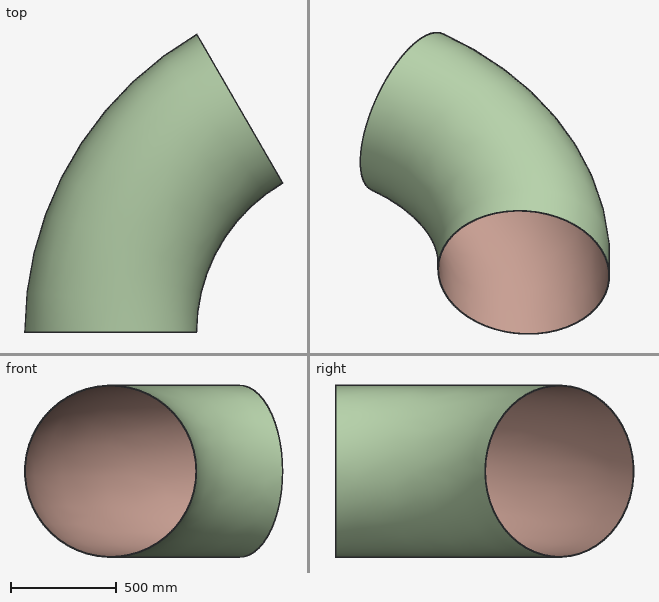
import cadquery as cq
import math

length = 1408.0
bend_angle = 60.0
bend_ratio = 1.5
wall = 4.0

outside_bend_radius = length / math.sin(math.radians(bend_angle))
outer_diameter = outside_bend_radius / (bend_ratio + 0.5)
bend_radius = bend_ratio * outer_diameter
outer_radius = outer_diameter / 2
inner_radius = outer_radius - wall


def pipe_elbow():
    """Ring section in the XZ plane, turned clockwise about a Z-parallel axis at X = bend_radius."""
    section = cq.Workplane("XZ").circle(outer_radius).circle(inner_radius)
    return section.revolve(bend_angle, (bend_radius, 0, 0), (bend_radius, -1, 0))


result = pipe_elbow()